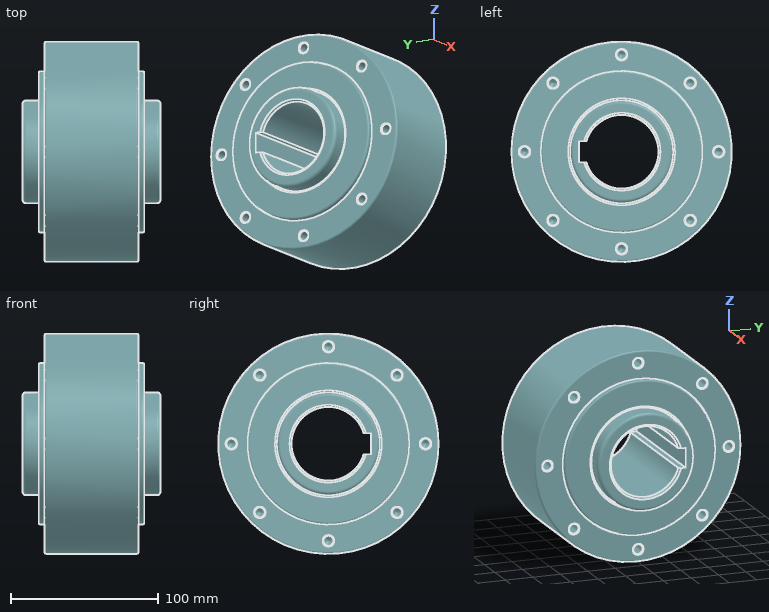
import cadquery as cq
import math

body_diameter = 150
body_width = 64.0
flange_diameter = 110.0
flange_width = 72
hub_diameter = 70.0
hub_length = 94.0

body_edge_radius = 1.5
flange_edge_radius = 1.5
hub_edge_radius = 2.5
groove_size = 1.4

bore_diameter = 50.0
bore_chamfer = 1.5
keyway_width = 14.0
keyway_reach = 28.8

hole_count = 8
hole_circle_diameter = 132
hole_diameter = 6.8
hole_mouth_diameter = 8.0
hole_depth = 18
hole_tip_angle = 118


def centred_cylinder(diameter, length):
    """Plain cylinder centred on the origin along X."""
    return cq.Workplane("YZ", origin=(-length / 2, 0, 0)).circle(diameter / 2).extrude(length)


def disc(diameter, length, edge_radius):
    """Disc centred on the origin along X, with both rims rounded."""
    return centred_cylinder(diameter, length).edges("%CIRCLE").fillet(edge_radius)


def axial_cone(start_radius, end_radius, start_x, length):
    """Cone along +X that starts at start_x."""
    return cq.Workplane(cq.Solid.makeCone(
        start_radius, end_radius, length, cq.Vector(start_x, 0, 0), cq.Vector(1, 0, 0)
    ))


def both_ends(cutter):
    """A cutter at the -X end together with its mirror image at the +X end."""
    return cutter.union(cutter.mirror("YZ"))


def flange_bevel():
    """Conical countersink in the flange face, around the hub."""
    hub_radius = hub_diameter / 2
    return both_ends(axial_cone(hub_radius + groove_size, hub_radius, -flange_width / 2, groove_size))


def bore():
    """Through bore with chamfered ends and a full-length keyway."""
    radius = bore_diameter / 2
    hole = centred_cylinder(bore_diameter, hub_length)
    chamfers = both_ends(axial_cone(radius + bore_chamfer, radius, -hub_length / 2, bore_chamfer))
    keyway = cq.Workplane("XY").box(
        hub_length, keyway_reach, keyway_width, centered=(True, False, True)
    )
    return hole.union(chamfers).union(keyway)


def bolt_holes():
    """Blind holes with a countersunk mouth and a conical drill-point bottom."""
    radius = hole_diameter / 2
    mouth_radius = hole_mouth_diameter / 2
    mouth_depth = mouth_radius - radius
    tip_depth = radius / math.tan(math.radians(hole_tip_angle / 2))
    face_x = -body_width / 2
    profile = (
        cq.Workplane("XY")
        .moveTo(face_x, 0)
        .lineTo(face_x, mouth_radius)
        .lineTo(face_x + mouth_depth, radius)
        .lineTo(face_x + hole_depth, radius)
        .lineTo(face_x + hole_depth + tip_depth, 0)
        .close()
    )
    hole = profile.revolve(360, (0, 0, 0), (1, 0, 0))
    hole = hole.translate((0, hole_circle_diameter / 2, 0))
    holes = cq.Workplane("XY")
    for index in range(hole_count):
        angle = index * 360 / hole_count
        holes = holes.add(hole.rotate((0, 0, 0), (1, 0, 0), angle))
    return both_ends(holes.combine())


body = disc(body_diameter, body_width, body_edge_radius)
flanges = disc(flange_diameter, flange_width, flange_edge_radius).cut(flange_bevel())
hub = disc(hub_diameter, hub_length, hub_edge_radius)

result = body.union(flanges).union(hub).cut(bore()).cut(bolt_holes())